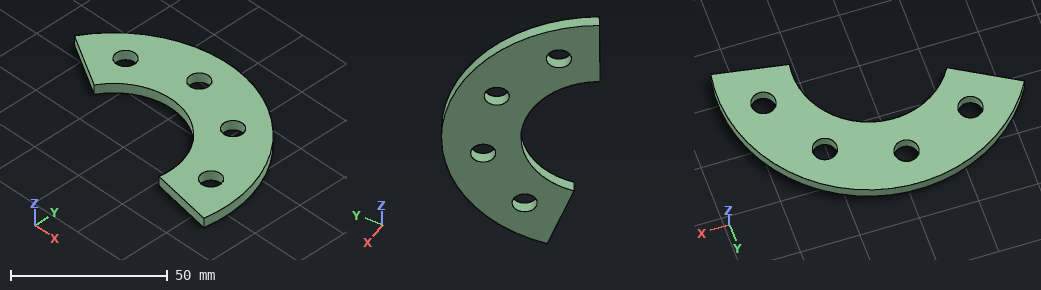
import cadquery as cq
import math

overall_length = 94.8
thickness = 4.0
hole_diameter = 8.0
start_angle = -10.0
end_angle = 150.0
hole_count = 4
hole_pitch_angle = 40.0

outer_radius = overall_length / (1 - math.cos(math.radians(end_angle)))
inner_radius = outer_radius / 2
hole_circle_radius = (inner_radius + outer_radius) / 2
middle_angle = (start_angle + end_angle) / 2
first_hole_angle = middle_angle - hole_pitch_angle * (hole_count - 1) / 2


def polar_point(radius, angle):
    """Point at a radius and an angle in degrees about the ring center."""
    return (radius * math.cos(math.radians(angle)), radius * math.sin(math.radians(angle)))


def ring_sector():
    """Flat ring sector with radial ends."""
    return (
        cq.Workplane("XY")
        .moveTo(*polar_point(outer_radius, start_angle))
        .threePointArc(polar_point(outer_radius, middle_angle), polar_point(outer_radius, end_angle))
        .lineTo(*polar_point(inner_radius, end_angle))
        .threePointArc(polar_point(inner_radius, middle_angle), polar_point(inner_radius, start_angle))
        .close()
        .extrude(thickness)
    )


def hole_cutters():
    """Through holes evenly spaced along the middle of the ring."""
    centers = [
        polar_point(hole_circle_radius, first_hole_angle + i * hole_pitch_angle)
        for i in range(hole_count)
    ]
    return cq.Workplane("XY").pushPoints(centers).circle(hole_diameter / 2).extrude(thickness)


result = ring_sector().cut(hole_cutters())